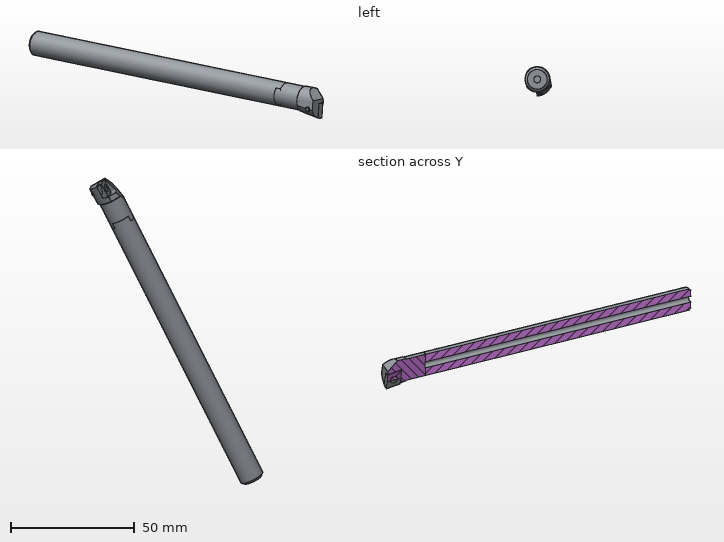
import cadquery as cq
import math


bar_diameter = 10.0
bar_radius = bar_diameter / 2
rear_chamfer = 1.0
bore_radius = 1.4
joint_x = 120.0
tongue_length = 2.2
tongue_width = 7.1

shoulder_x = 131.0
head_radius = 5.2
nose_radius = 5.9
nose_drop_angle = 10.0
nose_axis_x = 135.5
tip_x = 140.0
tip_z = -6.9
insert_tilt = 10.0
gully_start_x = 129.1
gully_angle = 18.4
bevel_start_x = 135.1
bevel_angle = 42.0
end_face_point = (139.0, -5.3, -1.4)
end_face_relief = 6.0
cut_size = 42.0

insert_side = 6.5
insert_thickness = 2.4
insert_corner_angle = 80.0
insert_corner_radius = 0.3
insert_relief = 7.0
lead_angle = 2.5

screw_radius = 1.0
screw_head_radius = 1.5
screw_tip_chamfer = 0.3

tilt = math.radians(insert_tilt)
lead = math.radians(lead_angle)

rake_plane = cq.Plane(
    origin=(tip_x, 0, tip_z),
    xDir=(-1, 0, 0),
    normal=(0, math.cos(tilt), -math.sin(tilt)),
)
axis_height = -tip_z * math.cos(tilt)
axis_depth = -tip_z * math.sin(tilt)
flat_depth = axis_depth + head_radius

front_edge_angle = math.radians(90.0 - lead_angle)
side_edge_angle = math.radians(90.0 - lead_angle - insert_corner_angle)
front_edge = cq.Vector(math.cos(front_edge_angle), math.sin(front_edge_angle)) * insert_side
side_edge = cq.Vector(math.cos(side_edge_angle), math.sin(side_edge_angle)) * insert_side
insert_centre = (front_edge + side_edge) * 0.5


def cylinder_x(radius, x_start, x_end):
    """Round bar on the X axis."""
    return cq.Workplane("YZ", origin=(x_start, 0, 0)).circle(radius).extrude(x_end - x_start)


def beyond_plane(point, normal):
    """Large block filling the space on the normal's side of a plane through the point."""
    plane = cq.Plane(origin=point, normal=normal)
    return cq.Workplane(plane).rect(cut_size, cut_size).extrude(cut_size)


def tongue_block():
    """Full-height block across the joint, as wide as the shank's tongue."""
    return cq.Workplane("XY", origin=(joint_x + tongue_length / 2, 0, 0)).box(
        tongue_length, tongue_width, 4 * bar_radius
    )


def make_shank():
    """Chamfered round bar with a coolant bore and a tongue at its front end."""
    shank = cylinder_x(bar_radius, 0, joint_x).faces("<X").chamfer(rear_chamfer)
    tongue = cylinder_x(bar_radius, joint_x, joint_x + tongue_length).intersect(tongue_block())
    bore = cylinder_x(bore_radius, 0, joint_x + tongue_length)
    return shank.union(tongue).cut(bore)


def insert_outline():
    """Rhombus with rounded corners; its first corner is the cutting tip."""
    far_corner = front_edge + side_edge
    corners = [
        (0, 0),
        (side_edge.x, side_edge.y),
        (far_corner.x, far_corner.y),
        (front_edge.x, front_edge.y),
        (0, 0),
    ]
    return cq.Sketch().polygon(corners).vertices().fillet(insert_corner_radius)


def insert_blank():
    """Insert body without its screw hole, narrowing below the rake face."""
    outline = cq.Workplane(rake_plane).placeSketch(insert_outline())
    return outline.extrude(-insert_thickness, taper=insert_relief)


def screw_shape(tip_chamfer=0):
    """Countersunk screw along the insert's centre line, from the rake face to the side flat."""
    head_depth = screw_head_radius - screw_radius
    profile = [(0, 0), (screw_head_radius, 0), (screw_radius, -head_depth)]
    if tip_chamfer:
        profile.append((screw_radius, tip_chamfer - flat_depth))
    profile += [(screw_radius - tip_chamfer, -flat_depth), (0, -flat_depth)]
    axis_plane = cq.Plane(
        origin=rake_plane.toWorldCoords(insert_centre.toTuple()),
        xDir=rake_plane.xDir,
        normal=rake_plane.yDir * -1,
    )
    return cq.Workplane(axis_plane).polyline(profile).close().revolve(360, (0, 0), (0, 1))


def head_nose():
    """Enlarged front of the head: a cylinder plus a skirt that carries the insert."""
    nose_length = tip_x - shoulder_x
    skirt = (
        cq.Workplane(rake_plane)
        .center(nose_length / 2, 0)
        .rect(nose_length, 2 * axis_height)
        .extrude(-flat_depth)
    )
    nose = cylinder_x(head_radius, shoulder_x, tip_x).union(skirt)
    drop = math.radians(nose_drop_angle)
    axis = cq.Vector(math.cos(drop), 0, -math.sin(drop))
    start = cq.Vector(nose_axis_x, 0, 0) - axis * (cut_size / 2)
    nose = nose.intersect(cq.Workplane(cq.Solid.makeCylinder(nose_radius, cut_size, start, axis)))
    shoulder = cq.Solid.makeCone(
        bar_radius, bar_radius + nose_length, nose_length, cq.Vector(shoulder_x, 0, 0), cq.Vector(1, 0, 0)
    )
    return nose.intersect(cq.Workplane(shoulder))


def make_head():
    """Forked neck and enlarged nose, cut for the chips, the insert and the screw."""
    neck = cylinder_x(bar_radius, joint_x, shoulder_x).cut(tongue_block())
    head = neck.union(head_nose())
    gully = math.radians(gully_angle)
    head = head.cut(beyond_plane((gully_start_x, bar_radius, 0), (math.sin(gully), math.cos(gully), 0)))
    bevel = math.radians(bevel_angle)
    head = head.cut(beyond_plane((bevel_start_x, 0, head_radius), (math.sin(bevel), 0, math.cos(bevel))))
    relief = math.radians(end_face_relief)
    head = head.cut(beyond_plane(end_face_point, (1, -math.tan(relief), math.tan(lead))))
    opening = cq.Workplane(rake_plane).placeSketch(insert_outline()).extrude(2 * head_radius)
    return head.cut(insert_blank()).cut(opening).cut(screw_shape())


shank = make_shank()
head = make_head()
insert = insert_blank().cut(screw_shape())
screw = screw_shape(screw_tip_chamfer)

result = cq.Compound.makeCompound([body.solids().val() for body in (shank, head, insert, screw)])